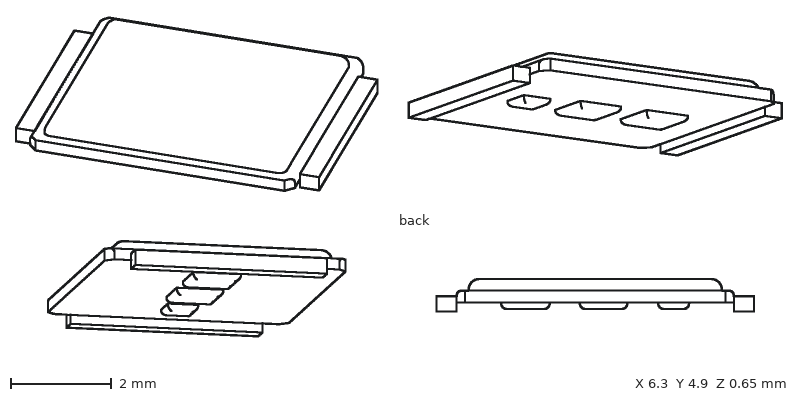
import cadquery as cq

total_length = 6.3
total_width = 4.9
total_height = 0.65

foot_length = 0.4
foot_width = 3.9
foot_height = 0.31

flange_length = total_length - 2 * foot_length
flange_bottom = 0.18
flange_top = 0.42
flange_corner = 0.165
flange_end_radius = 0.1

lid_margin = 0.235
lid_length = flange_length - 2 * lid_margin
lid_width = total_width - 2 * lid_margin
lid_corner_radius = 0.15
lid_top_radius = 0.215

pads = [(-1.555, 0.62), (-0.165, 0.95), (1.385, 0.97)]
pad_bottom = 0.05
pad_edge_radius = 0.12


def block(length, width, bottom, top, centre_x=0):
    """Box centred on Y = 0, spanning bottom to top in Z."""
    return (
        cq.Workplane("XY", origin=(centre_x, 0, bottom))
        .rect(length, width)
        .extrude(top - bottom)
    )


def make_flange():
    plate = block(flange_length, total_width, flange_bottom, flange_top)
    plate = plate.faces(">Z").edges("|Y").fillet(flange_end_radius)
    outline = block(flange_length, total_width, flange_bottom, flange_top)
    outline = outline.edges("|Z").chamfer(flange_corner)
    return plate.intersect(outline)


def make_lid():
    lid = block(lid_length, lid_width, flange_top, total_height)
    lid = lid.edges("|Z").fillet(lid_corner_radius)
    return lid.faces(">Z").edges().fillet(lid_top_radius)


def make_pad(centre_x, side):
    pad = block(side, side, pad_bottom, flange_bottom, centre_x)
    return pad.faces("<Z").edges().fillet(pad_edge_radius)


def make_foot(side_sign):
    centre_x = side_sign * (total_length - foot_length) / 2
    return block(foot_length, foot_width, 0, foot_height, centre_x)


result = make_flange().union(make_lid())
for side_sign in (-1, 1):
    result = result.union(make_foot(side_sign))
for centre_x, side in pads:
    result = result.union(make_pad(centre_x, side))